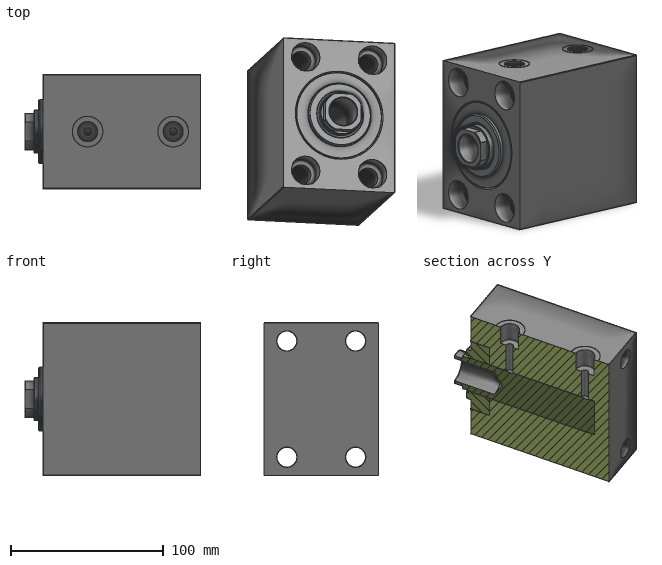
import cadquery as cq
import math


TOTAL_LENGTH = 115.0
FRONT_PROJECTION = 12.0
HOUSING_LENGTH = TOTAL_LENGTH - FRONT_PROJECTION
HOUSING_WIDTH = 75.0
HOUSING_HEIGHT = 100.0
EDGE_CHAMFER = 0.5

BOLT_SPACING_Y = 45.0
BOLT_SPACING_Z = 76.0
BOLT_HOLE_DIAMETER = 13.0
COUNTERBORE_DIAMETER = 19.0
COUNTERBORE_DEPTH = 13.0

PORT_POSITIONS = [29.1, 85.1]
PORT_DIAMETER = 13.1
PORT_DEPTH = 13.8
SPOTFACE_DIAMETER = 20.0
SPOTFACE_DEPTH = 0.1
OIL_DRILL_DIAMETER = 5.0

GLAND_DIAMETER = 57.0
GLAND_DEPTH = 13.8
GLAND_SEAT_CHAMFER = 0.9
COLLAR_DIAMETER = 42.1
COLLAR_HEIGHT = 3.0
COLLAR_CHAMFER = 0.8
WIPER_RECESS_DIAMETER = 31.3
WIPER_RECESS_DEPTH = 1.2

ROD_DIAMETER = 28.1
ROD_END = 92.0
ROD_CHAMFER = 0.5
NOSE_LENGTH = 6.0
NOSE_DIAMETER = 26.9
NOSE_ACROSS_FLATS = 23.9
NOSE_CHAMFER = 0.3
SOCKET_DIAMETER = 18.6
SOCKET_DEPTH = 29.9
SOCKET_CHAMFER = 0.3
DRILL_POINT_ANGLE = 118.0

NOSE_TIP = -FRONT_PROJECTION
ROD_SHOULDER = NOSE_TIP + NOSE_LENGTH


def rod_axis_cylinder(diameter, start, end):
    """Solid cylinder on the X axis from X = start to X = end."""
    return cq.Workplane("YZ", origin=(start, 0, 0)).circle(diameter / 2).extrude(end - start)


def vertical_hole(x, diameter, bottom):
    """Cutter on the housing centreline, from Z = bottom up to the top face."""
    height = HOUSING_HEIGHT / 2 - bottom
    return cq.Workplane("XY", origin=(x, 0, bottom)).circle(diameter / 2).extrude(height)


def bolt_holes():
    """Four counterbored through holes, with the counterbores at the front face."""
    def at_corners(diameter, depth):
        return (
            cq.Workplane("YZ")
            .rect(BOLT_SPACING_Y, BOLT_SPACING_Z, forConstruction=True)
            .vertices()
            .circle(diameter / 2)
            .extrude(depth)
        )

    through_holes = at_corners(BOLT_HOLE_DIAMETER, HOUSING_LENGTH)
    return through_holes.union(at_corners(COUNTERBORE_DIAMETER, COUNTERBORE_DEPTH))


def oil_port(x):
    """Spotfaced port with a narrow drilling down to the rod bore."""
    top = HOUSING_HEIGHT / 2
    spotface = vertical_hole(x, SPOTFACE_DIAMETER, top - SPOTFACE_DEPTH)
    port = vertical_hole(x, PORT_DIAMETER, top - PORT_DEPTH)
    drilling = vertical_hole(x, OIL_DRILL_DIAMETER, 0)
    return spotface.union(port).union(drilling)


def make_housing():
    housing = (
        cq.Workplane("XY")
        .box(HOUSING_LENGTH, HOUSING_WIDTH, HOUSING_HEIGHT, centered=(False, True, True))
        .edges("|X")
        .chamfer(EDGE_CHAMFER)
    )
    housing = housing.cut(rod_axis_cylinder(GLAND_DIAMETER, 0, GLAND_DEPTH))
    housing = housing.faces("<X").edges("%CIRCLE").chamfer(GLAND_SEAT_CHAMFER)
    housing = housing.cut(rod_axis_cylinder(ROD_DIAMETER, 0, ROD_END))
    housing = housing.cut(bolt_holes())
    for x in PORT_POSITIONS:
        housing = housing.cut(oil_port(x))
    return housing


def make_gland():
    collar = rod_axis_cylinder(COLLAR_DIAMETER, -COLLAR_HEIGHT, 0)
    collar = collar.faces("<X").edges().chamfer(COLLAR_CHAMFER)
    gland = rod_axis_cylinder(GLAND_DIAMETER, 0, GLAND_DEPTH).union(collar)
    gland = gland.cut(rod_axis_cylinder(ROD_DIAMETER, -COLLAR_HEIGHT, GLAND_DEPTH))
    recess_floor = WIPER_RECESS_DEPTH - COLLAR_HEIGHT
    return gland.cut(rod_axis_cylinder(WIPER_RECESS_DIAMETER, -COLLAR_HEIGHT, recess_floor))


def rod_socket():
    """Chamfered blind hole in the nose, ending in a drill point."""
    mouth = cq.Solid.makeCone(
        SOCKET_DIAMETER / 2 + SOCKET_CHAMFER,
        SOCKET_DIAMETER / 2,
        SOCKET_CHAMFER,
        pnt=cq.Vector(NOSE_TIP, 0, 0),
        dir=cq.Vector(1, 0, 0),
    )
    socket_floor = NOSE_TIP + SOCKET_DEPTH
    point_length = SOCKET_DIAMETER / 2 / math.tan(math.radians(DRILL_POINT_ANGLE / 2))
    drill_point = cq.Solid.makeCone(
        SOCKET_DIAMETER / 2,
        0,
        point_length,
        pnt=cq.Vector(socket_floor, 0, 0),
        dir=cq.Vector(1, 0, 0),
    )
    return rod_axis_cylinder(SOCKET_DIAMETER, NOSE_TIP, socket_floor).union(mouth).union(drill_point)


def make_rod():
    shank = rod_axis_cylinder(ROD_DIAMETER, ROD_SHOULDER, ROD_END)
    shank = shank.faces("<X").edges().chamfer(ROD_CHAMFER)
    nose = rod_axis_cylinder(NOSE_DIAMETER, NOSE_TIP, ROD_SHOULDER)
    nose = nose.faces("<X").edges().chamfer(NOSE_CHAMFER)
    flats = (
        cq.Workplane("YZ", origin=(NOSE_TIP, 0, 0))
        .rect(NOSE_ACROSS_FLATS, NOSE_ACROSS_FLATS)
        .extrude(NOSE_LENGTH)
    )
    return shank.union(nose.intersect(flats)).cut(rod_socket())


housing = make_housing()
gland = make_gland()
rod = make_rod()

result = cq.Compound.makeCompound([housing.val(), gland.val(), rod.val()])